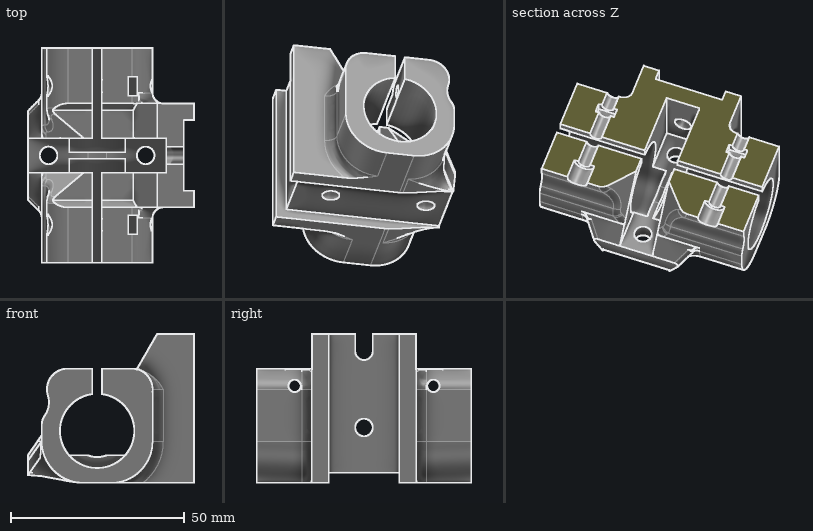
import cadquery as cq
import math


barrel_length = 62.0
barrel_half_width = 16.0
barrel_top = 33.0
lower_radius = 12.0
upper_radius = 6.0
nose_center_x = -8.5
nose_drop_angle = 17.5
groove_radius = 6.5
shoulder_radius = 4.6

bore_radius = 10.7
bore_center_z = 15.0
rod_radius = 7.5
stop_rib_thickness = 1.8
slit_width = 2.8

plate_back_x = 28.0
plate_top = 43.0
plate_half_length = 15.0
plate_slope_angle = 60.0
plate_top_front_x = 17.3
rail_slot_depth = 3.0
channel_half_length = 10.15
channel_height = 2.9
plate_hole_z = 16.0
plate_notch_z = 38.0
bolt_diameter = 5.0
plate_fillet = 3.0
clearance = 1.0
overlap = 0.5
fade_angle = 80.0
fade_steps = 8

recess_floor = 31.0
recess_half_length = 13.0
belt_half_width = 5.0
belt_half_length = 20.0
belt_floor = 8.0
vertical_hole_x = 14.0

foot_tip_x = -20.0
foot_bottom = 2.2
foot_tip_y = 12.8
foot_bevel_top = 6.3
foot_blend_turn = 5.0
foot_edge_round = 1.1
flank_radius = 8.0
ledge_top_x = -3.9
cheek_angle = 50.0
cheek_round = 2.8
cheek_start_y = 3.0

screw_y = 20.0
screw_z = 28.0
screw_diameter = 3.5
head_diameter = 6.0
head_seat_x = -8.5
nut_width = 5.5
nut_thickness = 2.5
nut_center_x = 10.25

cheek_spread = math.tan(math.radians(cheek_angle))
ledge_slope = (recess_floor - belt_floor) / (ledge_top_x - foot_tip_x)
plate_slope = math.tan(math.radians(plate_slope_angle))
lower_center_x = barrel_half_width - lower_radius
upper_center_x = barrel_half_width - upper_radius
upper_center_z = barrel_top - upper_radius


def polar(center, radius, degrees):
    """Point on a circle in the plane of an outline."""
    angle = math.radians(degrees)
    return (center[0] + radius * math.cos(angle), center[1] + radius * math.sin(angle))


def box(x0, x1, y0, y1, z0, z1):
    return cq.Workplane("XY").box(x1 - x0, y1 - y0, z1 - z0, centered=False).translate((x0, y0, z0))


def slab(outline, half_length):
    """XZ outline extruded evenly to both sides of Y = 0."""
    return outline.extrude(half_length, both=True)


def both_ends(shape):
    """The shape together with its mirror image in Y = 0."""
    return shape.union(shape.mirror("XZ"))


def barrel():
    nose = (nose_center_x, upper_center_z)
    nose_end = 180 + nose_drop_angle
    groove = polar(nose, upper_radius + groove_radius, nose_end)
    shoulder_x = shoulder_radius - barrel_half_width
    reach = groove_radius + shoulder_radius
    groove_end = -math.degrees(math.acos((shoulder_x - groove[0]) / reach))
    shoulder = polar(groove, reach, groove_end)
    left_low = (-lower_center_x, lower_radius)
    right_low = (lower_center_x, lower_radius)
    right_top = (upper_center_x, upper_center_z)
    outline = (
        cq.Workplane("XZ")
        .moveTo(-lower_center_x, 0)
        .lineTo(lower_center_x, 0)
        .threePointArc(polar(right_low, lower_radius, -45), polar(right_low, lower_radius, 0))
        .lineTo(barrel_half_width, upper_center_z)
        .threePointArc(polar(right_top, upper_radius, 45), polar(right_top, upper_radius, 90))
        .lineTo(nose_center_x, barrel_top)
        .threePointArc(polar(nose, upper_radius, 135), polar(nose, upper_radius, nose_end))
        .threePointArc(
            polar(groove, groove_radius, (nose_drop_angle + groove_end) / 2),
            polar(groove, groove_radius, groove_end),
        )
        .threePointArc(
            polar(shoulder, shoulder_radius, 180 + groove_end / 2),
            polar(shoulder, shoulder_radius, 180),
        )
        .lineTo(-barrel_half_width, lower_radius)
        .threePointArc(polar(left_low, lower_radius, 225), polar(left_low, lower_radius, 270))
        .close()
    )
    return slab(outline, barrel_length / 2)


def top_recess():
    """Trough in the barrel top with 45 degree end walls, as long as the plate at the barrel top."""
    return (
        cq.Workplane("YZ", origin=(-barrel_half_width - clearance, 0, 0))
        .moveTo(-recess_half_length, recess_floor)
        .lineTo(recess_half_length, recess_floor)
        .lineTo(plate_half_length, barrel_top)
        .lineTo(-plate_half_length, barrel_top)
        .close()
        .extrude(2 * (barrel_half_width + clearance))
    )


def cheek_cut():
    """Wedge beside the belt slot; its slanted face rises along the slope of the foot ledge."""
    far_y = barrel_length / 2
    far_x = foot_tip_x - 2 * barrel_length
    rise = barrel_top + clearance - belt_floor

    def face_x(y):
        return foot_tip_x - (y - belt_half_width) * cheek_spread

    corners = [
        cq.Vector(face_x(cheek_start_y), cheek_start_y, belt_floor),
        cq.Vector(face_x(far_y), far_y, belt_floor),
        cq.Vector(far_x, far_y, belt_floor),
        cq.Vector(far_x, cheek_start_y, belt_floor),
    ]
    base = cq.Wire.makePolygon(corners, close=True)
    lean = cq.Vector(rise / ledge_slope, 0, rise)
    return cq.Workplane(cq.Solid.extrudeLinear(base, [], lean))


def barrel_with_cheeks():
    """Barrel with both slanted cheeks cut and their rims rounded, then the top recess."""
    shape = barrel().cut(both_ends(cheek_cut()))
    slanted = 0.1
    tolerance = 0.01
    rims = []
    for face in shape.faces().vals():
        normal = face.normalAt()
        is_cheek = min(abs(normal.x), abs(normal.y), abs(normal.z)) > slanted
        if face.geomType() != "PLANE" or not is_cheek:
            continue
        for edge in face.Edges():
            if abs(abs(edge.Center().y) - cheek_start_y) > tolerance:
                rims.append(edge)
    return shape.newObject(rims).fillet(cheek_round).cut(top_recess())


def plate():
    base_x = plate_top_front_x - (plate_top - recess_floor) / plate_slope
    outline = (
        cq.Workplane("XZ")
        .moveTo(lower_center_x, 0)
        .lineTo(plate_back_x, 0)
        .lineTo(plate_back_x, plate_top)
        .lineTo(plate_top_front_x, plate_top)
        .lineTo(base_x, recess_floor)
        .lineTo(lower_center_x, recess_floor)
        .close()
    )
    return slab(outline, plate_half_length)


def fillet_section(plane, start, width):
    """Concave corner on the barrel face at start, reaching width along the plate."""
    bend = 1 - math.sqrt(0.5)
    barrel_end_y = plate_half_length + plate_fillet
    return (
        plane
        .moveTo(start - overlap, plate_half_length - overlap)
        .lineTo(start + width, plate_half_length - overlap)
        .lineTo(start + width, plate_half_length)
        .spline(
            [(start + bend * width, plate_half_length + bend * plate_fillet), (start, barrel_end_y)],
            tangents=[(-1, 0), (0, 1)],
            includeCurrent=True,
        )
        .lineTo(start - overlap, barrel_end_y)
        .close()
    )


def plate_fillet_ring():
    """Fillet between barrel and plate: around the lower round, up the side, fading on the upper round."""
    lower = (
        fillet_section(cq.Workplane("XY"), lower_radius, plate_fillet)
        .revolve(90, (0, 0, 0), (0, 1, 0))
        .translate((lower_center_x, 0, lower_radius))
        .intersect(box(0, plate_back_x, 0, barrel_length, 0, barrel_top))
    )
    side = (
        fillet_section(cq.Workplane("XY"), barrel_half_width, plate_fillet)
        .extrude(upper_center_z - lower_radius)
        .translate((0, 0, lower_radius))
    )
    sections = []
    for step in range(fade_steps):
        share = step / fade_steps
        turn = math.radians(share * fade_angle)
        section_plane = cq.Plane(
            origin=(upper_center_x, 0, upper_center_z),
            xDir=(math.cos(turn), 0, math.sin(turn)),
            normal=(-math.sin(turn), 0, math.cos(turn)),
        )
        width = plate_fillet * (1 - share) ** 2
        section = fillet_section(cq.Workplane(section_plane), upper_radius, width)
        sections.append(section.wires().val())
    fade = cq.Workplane(cq.Solid.makeLoft(sections))
    return both_ends(lower.union(side).union(fade))


def foot_core():
    """Foot half with 45 degree flanks: its tip outline carried inwards along the rising ledge rim."""
    travel = barrel_half_width
    tip = (
        cq.Workplane("YZ")
        .lineTo(0, belt_floor)
        .lineTo(foot_tip_y - foot_edge_round, belt_floor)
        .threePointArc(
            polar((foot_tip_y - foot_edge_round, belt_floor - foot_edge_round), foot_edge_round, 45),
            (foot_tip_y, belt_floor - foot_edge_round),
        )
        .lineTo(foot_tip_y, foot_bevel_top)
        .lineTo(channel_half_length, foot_bottom)
        .lineTo(0, foot_bottom)
        .close()
    )
    lean = cq.Vector(travel, travel, travel * ledge_slope)
    outline = tip.wires().val().translate(cq.Vector(foot_tip_x, 0, 0))
    return cq.Workplane(cq.Solid.extrudeLinear(outline, [], lean))


def foot():
    """Foot under the cheeks: slanted ledge on top, flanks flaring from the barrel."""
    inner_x = -lower_center_x
    ledge_z = belt_floor + ledge_slope * (-barrel_half_width - foot_tip_x)
    flare_end_y = plate_half_length + plate_fillet

    flare_center = (-lower_radius - flank_radius, flare_end_y)
    lower_flank = (
        cq.Workplane("XY")
        .lineTo(flare_center[0] + foot_tip_x, 0)
        .lineTo(flare_center[0] + foot_tip_x, flare_end_y - flank_radius)
        .lineTo(flare_center[0], flare_end_y - flank_radius)
        .threePointArc(polar(flare_center, flank_radius, -45), (-lower_radius, flare_end_y))
        .lineTo(0, flare_end_y)
        .close()
        .revolve(90, (0, 0, 0), (0, -1, 0))
        .translate((inner_x, 0, lower_radius))
    )
    fillet_center = (-barrel_half_width - plate_fillet, flare_end_y)
    fillet_foot = polar(fillet_center, plate_fillet, -45)
    upper_flank = (
        cq.Workplane("XY", origin=(0, 0, lower_radius))
        .moveTo(inner_x, 0)
        .lineTo(fillet_foot[0], 0)
        .lineTo(*fillet_foot)
        .threePointArc(polar(fillet_center, plate_fillet, -22.5), (-barrel_half_width, flare_end_y))
        .lineTo(inner_x, flare_end_y)
        .close()
        .extrude(ledge_z - lower_radius)
    )
    blend_angle = math.radians(foot_blend_turn)
    profile = (
        cq.Workplane("XZ")
        .moveTo(foot_tip_x, foot_bottom)
        .lineTo(foot_tip_x, belt_floor)
        .lineTo(-barrel_half_width, ledge_z)
        .lineTo(inner_x, ledge_z)
        .lineTo(inner_x, lower_radius / 2)
        .lineTo(*polar((inner_x, lower_radius), lower_radius, 270 - foot_blend_turn))
        .spline(
            [(foot_tip_x, foot_bottom)],
            tangents=[(-math.cos(blend_angle), math.sin(blend_angle)), (-1, 0)],
            includeCurrent=True,
        )
        .close()
    )
    half = (
        lower_flank.union(upper_flank).union(foot_core())
        .intersect(slab(profile, barrel_length / 2))
        .intersect(box(foot_tip_x, inner_x, 0, flare_end_y, 0, barrel_top))
    )
    return both_ends(half)


def bore():
    """Bearing seats from both ends, a thin stop rib between them with rod clearance, and the slit."""
    def cylinder(radius, length):
        return (
            cq.Workplane("XZ").center(0, bore_center_z).circle(radius)
            .extrude(length / 2, both=True)
        )

    rib = box(-bore_radius, bore_radius, -stop_rib_thickness / 2, stop_rib_thickness / 2, 0, barrel_top)
    slit = box(
        -slit_width / 2, slit_width / 2,
        -barrel_length / 2, barrel_length / 2,
        bore_center_z, barrel_top,
    )
    seats = cylinder(bore_radius, barrel_length).cut(rib)
    return seats.union(cylinder(rod_radius, barrel_length)).union(slit)


def belt_slot():
    return box(
        -belt_half_length, belt_half_length,
        -belt_half_width, belt_half_width,
        belt_floor, plate_top,
    )


def vertical_holes():
    return (
        cq.Workplane("XY")
        .pushPoints([(-vertical_hole_x, 0), (vertical_hole_x, 0)])
        .circle(bolt_diameter / 2)
        .extrude(belt_floor)
    )


def plate_openings():
    """Bolt hole and open notch through the plate, the rail slot in its back."""
    face = cq.Workplane("YZ")
    hole = face.center(0, plate_hole_z).circle(bolt_diameter / 2).extrude(plate_back_x)
    notch_end = face.center(0, plate_notch_z).circle(bolt_diameter / 2).extrude(plate_back_x)
    notch = box(0, plate_back_x, -bolt_diameter / 2, bolt_diameter / 2, plate_notch_z, plate_top)
    rail_slot = box(
        plate_back_x - rail_slot_depth, plate_back_x,
        -channel_half_length, channel_half_length,
        0, plate_top,
    )
    return hole.union(notch_end).union(notch).union(rail_slot)


def underside_channel():
    return box(
        foot_tip_x, plate_back_x,
        -channel_half_length, channel_half_length,
        0, channel_height,
    )


def clamp_screw():
    """Cross hole with a head seat on the -X side and a nut trap open to the top."""
    face = cq.Workplane("YZ", origin=(-barrel_half_width, screw_y, screw_z))
    shank = face.circle(screw_diameter / 2).extrude(2 * barrel_half_width)
    head = face.circle(head_diameter / 2).extrude(head_seat_x + barrel_half_width)
    nut = box(
        nut_center_x - nut_thickness / 2, nut_center_x + nut_thickness / 2,
        screw_y - nut_width / 2, screw_y + nut_width / 2,
        screw_z - nut_width / 2, barrel_top,
    )
    return shank.union(head).union(nut)


body = barrel_with_cheeks().union(plate()).union(plate_fillet_ring()).union(foot())
for cutter in (
    bore(),
    belt_slot(),
    vertical_holes(),
    plate_openings(),
    underside_channel(),
    both_ends(clamp_screw()),
):
    body = body.cut(cutter)

result = body